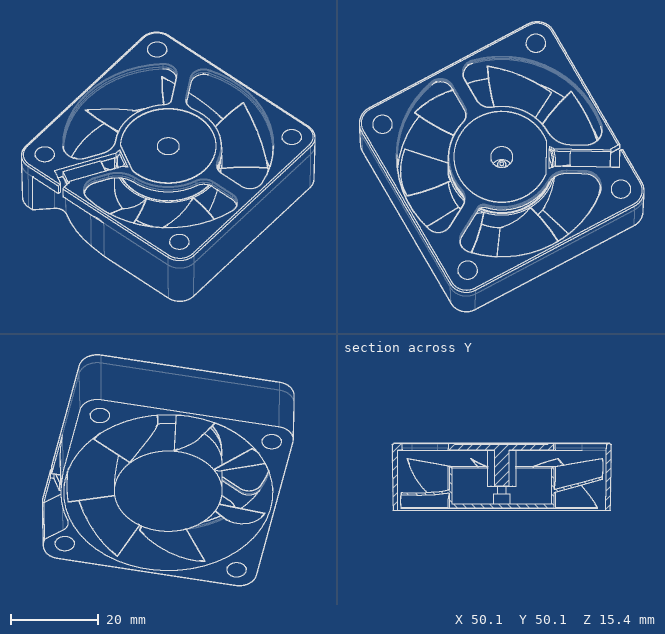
import cadquery as cq
import math

side = 50.1
height = 15.4
flange_thickness = 3.0
corner_radius = 4.25
draft_angle = 1.0
rim_chamfer_width = 0.45
rim_chamfer_depth = 0.25
mount_hole_diameter = 4.4
mount_hole_offset = 20.05

opening_radius = 24.0
opening_lip_width = 0.1
opening_lip_height = 0.6
plate_thickness = 1.65
hub_radius = 12.15
spoke_half_width = 1.65
cable_spoke_half_width = 3.15
spoke_angles = (0, 120, 240)
cable_angle = spoke_angles[2]
outer_corner_radius = 3.0
cable_outer_corner_radius = 3.75
hub_corner_radius = 3.25
tight_corner_radius = 1.5
cable_left_hub_corner_radius = 4.5
cable_right_hub_corner_radius = 6.0
opening_edge_round = 0.15
label_radius = 10.9
label_depth = 0.2
label_flat = 10.15
tube_radius = 3.2
bore_radius = 2.5
tube_bottom = 5.5

channel_half_width = 2.05
channel_mouth_half_width = 2.65
channel_depth = 1.25
channel_start = 10.8
channel_mouth_end = 12.0
channel_floor_start = 15.65
channel_floor_end = 24.85
channel_end = 26.9
cable_exit_left = -11.75
cable_exit_right = -10.45

recess_outer_radius = 24.75
recess_left = -19.55
recess_slope_end = -15.95
recess_arc_start = -13.3
recess_arc_end = -2.55
recess_right = 1.7

blade_count = 7
rotor_radius = 12.3
rotor_inner_radius = 11.6
rotor_bottom = 0.5
rotor_top = 10.0
rotor_floor = 1.5
rotor_rim_chamfer = 0.3
boss_radius = 1.9
boss_top = 3.75
shaft_radius = 0.95
shaft_top = 10.0
shaft_chamfer = 0.5
blade_tip_radius = 23.15
blade_direction = 63.4
blade_thickness = 0.5
blade_edge_thickness = 0.15
blade_camber = 1.5
blade_low = 0.5
blade_root = (11.7, 46.2, 80.5, 10.0)
blade_middle = (17.55, 45.0, 82.7, 11.1)
blade_tip = (23.55, 44.1, 81.7, 12.1)

flange_bottom = height - flange_thickness
plate_bottom = height - plate_thickness
half_side = side / 2
duct_radius = opening_radius - opening_lip_width


def cylinder(radius, bottom, top):
    return cq.Workplane("XY").workplane(offset=bottom).circle(radius).extrude(top - bottom)


def cable_prism(points, bottom, top):
    """Prism whose outline is given as (distance along the cable spoke, offset to its left)."""
    prism = cq.Workplane("XY").workplane(offset=bottom).polyline(points).close().extrude(top - bottom)
    return prism.rotate((0, 0, 0), (0, 0, 1), cable_angle)


def square_block():
    return cq.Sketch().rect(side, side).vertices().fillet(corner_radius)


def frame_block():
    flange = cq.Workplane("XY").workplane(offset=flange_bottom).placeSketch(square_block())
    flange = flange.extrude(flange_thickness)
    flange = flange.faces(">Z").edges().chamfer(rim_chamfer_depth, rim_chamfer_width)
    skirt = cq.Workplane("XY").workplane(offset=flange_bottom).placeSketch(square_block())
    return flange.union(skirt.extrude(-flange_bottom, taper=draft_angle))


def spoke_edge_point(angle, offset, radius):
    """Point at a given radius on the line parallel to a spoke, offset to the spoke's left."""
    turn = math.radians(angle)
    along = math.sqrt(radius**2 - offset**2)
    return (
        along * math.cos(turn) - offset * math.sin(turn),
        along * math.sin(turn) + offset * math.cos(turn),
    )


def opening(start_angle, start_half, start_radii, end_angle, end_half, end_radii):
    """Air opening between two spokes, going counter-clockwise from the first to the second.

    Each pair of radii rounds that spoke's corners at the hub and at the frame.
    The opening narrows to a sloped lip at the underside of the plate.
    """
    mid = math.radians((start_angle + end_angle) / 2)
    direction = (math.cos(mid), math.sin(mid))
    inner_start = spoke_edge_point(start_angle, start_half, hub_radius)
    outer_start = spoke_edge_point(start_angle, start_half, opening_radius)
    inner_end = spoke_edge_point(end_angle, -end_half, hub_radius)
    outer_end = spoke_edge_point(end_angle, -end_half, opening_radius)
    prism = (
        cq.Workplane("XY").workplane(offset=plate_bottom)
        .moveTo(*inner_start)
        .lineTo(*outer_start)
        .threePointArc(tuple(opening_radius * c for c in direction), outer_end)
        .lineTo(*inner_end)
        .threePointArc(tuple(hub_radius * c for c in direction), inner_start)
        .close()
        .extrude(plate_thickness)
    )
    corners = zip((inner_start, outer_start, inner_end, outer_end), (*start_radii, *end_radii))
    for (x, y), radius in corners:
        edge = cq.selectors.NearestToPointSelector((x, y, height - plate_thickness / 2))
        prism = prism.edges("|Z").edges(edge).fillet(radius)
    return prism.faces("<Z").chamfer(opening_lip_width, opening_lip_height)


def cut_openings(body):
    right, upper, cable = spoke_angles
    plain_corners = (hub_corner_radius, outer_corner_radius)
    tight_corners = (tight_corner_radius, outer_corner_radius)
    cable_left = (cable_left_hub_corner_radius, cable_outer_corner_radius)
    cable_right = (cable_right_hub_corner_radius, cable_outer_corner_radius)
    narrow, wide = spoke_half_width, cable_spoke_half_width
    body = body.cut(opening(right, narrow, plain_corners, upper, narrow, plain_corners))
    body = body.cut(opening(upper, narrow, tight_corners, cable, wide, cable_left))
    body = body.cut(opening(cable, wide, cable_right, right + 360, narrow, plain_corners))
    rims = [edge for wire in body.faces(">Z").val().innerWires() for edge in wire.Edges()]
    return body.newObject(rims).fillet(opening_edge_round)


def channel_outline(end):
    """Channel outline that starts with a flared mouth at the hub and runs straight to its end."""
    return [
        (channel_start, -channel_mouth_half_width),
        (channel_mouth_end, -channel_half_width),
        (end, -channel_half_width),
        (end, channel_half_width),
        (channel_mouth_end, channel_half_width),
        (channel_start, channel_mouth_half_width),
    ]


def cable_channel():
    """Shallow groove along the cable spoke, cut through at the hub and at its outer end."""
    groove = cable_prism(channel_outline(channel_end), height - channel_depth, height)
    mouth = cable_prism(channel_outline(channel_floor_start), plate_bottom, height)
    outer_gap = [
        (channel_floor_end, -channel_half_width),
        (channel_end, -channel_half_width),
        (channel_end, channel_half_width),
        (channel_floor_end, channel_half_width),
    ]
    return groove.union(mouth).union(cable_prism(outer_gap, flange_bottom, height))


def cable_exit():
    """Slot through the flange edge that joins the end of the channel to the front."""
    width = cable_exit_right - cable_exit_left
    turn = math.radians(cable_angle)
    inner_y = (channel_floor_end - cable_exit_right * math.cos(turn)) / math.sin(turn)
    exit_length = half_side + inner_y
    return (
        cq.Workplane("XY").workplane(offset=flange_bottom)
        .rect(width, exit_length)
        .extrude(flange_thickness)
        .translate(((cable_exit_left + cable_exit_right) / 2, inner_y - exit_length / 2, 0))
    )


def on_recess_circle(x):
    return (x, -math.sqrt(recess_outer_radius**2 - x**2))


def cable_recess():
    """Room for the cable below the flange: a sloped side, a rounded corner and the duct's wall."""
    clear_y = -side
    slope_start = (recess_left, -half_side)
    slope_end = (recess_slope_end, -half_side + recess_slope_end - recess_left)
    arc_mid = on_recess_circle((recess_arc_start + recess_arc_end) / 2)
    return (
        cq.Workplane("XY").workplane(offset=flange_bottom)
        .moveTo(recess_left, clear_y)
        .lineTo(*slope_start)
        .lineTo(*slope_end)
        .tangentArcPoint(on_recess_circle(recess_arc_start), relative=False)
        .threePointArc(arc_mid, on_recess_circle(recess_arc_end))
        .lineTo(recess_right, -half_side)
        .lineTo(recess_right, clear_y)
        .close()
        .extrude(-flange_bottom, taper=-draft_angle)
    )


def label_recess():
    disc = cylinder(label_radius, height - label_depth, height)
    length = label_flat + label_radius
    keep = cq.Workplane("XY").box(length, side, height, centered=(False, True, False))
    keep = keep.translate((-label_radius, 0, 0)).rotate((0, 0, 0), (0, 0, 1), cable_angle)
    return disc.intersect(keep)


def make_housing():
    body = frame_block()
    body = body.cut(cylinder(duct_radius, 0, plate_bottom))
    body = body.cut(cable_recess())
    body = cut_openings(body)
    body = body.union(cylinder(tube_radius, tube_bottom, plate_bottom))
    body = body.cut(cylinder(bore_radius, 0, height))
    mount_holes = (
        cq.Workplane("XY")
        .rect(2 * mount_hole_offset, 2 * mount_hole_offset, forConstruction=True)
        .vertices()
        .circle(mount_hole_diameter / 2)
        .extrude(height)
    )
    body = body.cut(mount_holes)
    body = body.cut(label_recess()).cut(cable_channel()).cut(cable_exit())
    return body


def blade_section(radius, low_angle, high_angle, high):
    """Cambered profile, thin at both edges, in a plane square to the blade's own direction."""
    low_y = radius * math.tan(math.radians(low_angle - blade_direction))
    high_y = radius * math.tan(math.radians(high_angle - blade_direction))
    mid_y = (low_y + high_y) / 2
    mid_z = (blade_low + high) / 2 - blade_camber
    plane = cq.Plane(origin=(radius, 0, 0), xDir=(0, 1, 0), normal=(1, 0, 0))
    profile = (
        cq.Workplane(plane)
        .moveTo(low_y, blade_low)
        .threePointArc((mid_y, mid_z), (high_y, high))
        .lineTo(high_y - blade_edge_thickness, high)
        .threePointArc((mid_y - blade_thickness / 2, mid_z + blade_thickness),
                       (low_y, blade_low + blade_edge_thickness))
        .close()
    )
    return profile.val()


def make_blade():
    sections = [blade_section(*station) for station in (blade_root, blade_middle, blade_tip)]
    blade = cq.Workplane("XY").add(cq.Solid.makeLoft(sections))
    blade = blade.intersect(cylinder(blade_tip_radius, 0, height))
    return blade.rotate((0, 0, 0), (0, 0, 1), blade_direction)


def make_rotor():
    cup = cylinder(rotor_radius, rotor_bottom, rotor_top)
    cup = cup.cut(cylinder(rotor_inner_radius, rotor_floor, rotor_top))
    cup = cup.edges(cq.selectors.RadiusNthSelector(0)).edges(">Z").chamfer(rotor_rim_chamfer)
    cup = cup.union(cylinder(boss_radius, rotor_bottom, boss_top))
    shaft = cylinder(shaft_radius, rotor_bottom, shaft_top).faces(">Z").chamfer(shaft_chamfer)
    cup = cup.union(shaft)
    blade = make_blade()
    for index in range(blade_count):
        cup = cup.union(blade.rotate((0, 0, 0), (0, 0, 1), index * 360 / blade_count))
    return cup


housing = make_housing()
rotor = make_rotor()
result = cq.Compound.makeCompound([housing.val(), rotor.val()])